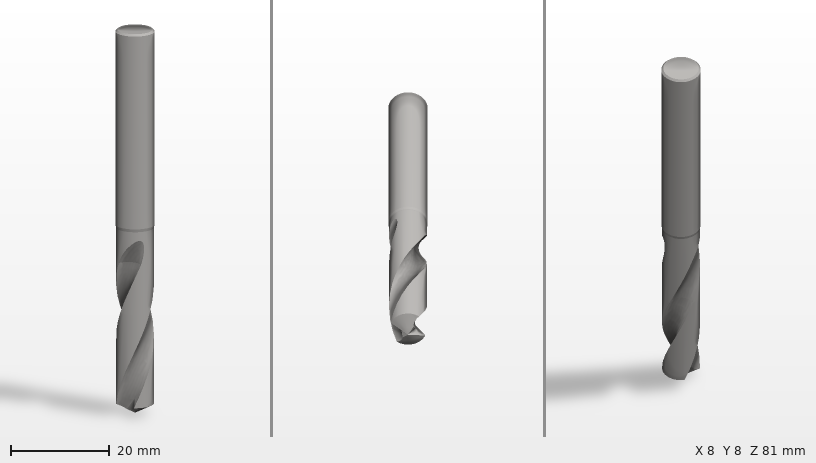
import cadquery as cq

total_length = 81.0
shank_diameter = 8.0
drill_diameter = 7.7
shank_chamfer = 0.4
point_height = 2.0

joint_level = 21.7
runout_start = 32.15
runout_end = 37.35
neck_level = 39.2
shank_level = 39.85

flute_count = 2
flute_radius = 2.6
flute_offset = 4.0
flute_twist = 6.667
flute_joint_angle = -122.0
runout_power = 1.4
runout_steps = 5
flute_overrun = 0.8

gash_face_angle = -34.0
gash_lean = 27.0
gash_length = 6.5

shank_radius = shank_diameter / 2
drill_radius = drill_diameter / 2
lift_total = drill_radius + flute_radius - flute_offset


def flute_angle(level):
    return flute_joint_angle + flute_twist * (level - joint_level)


def flute_section(level, offset):
    """Horizontal flute circle at a level, turned with the helix."""
    turned = cq.Plane((0, 0, level)).rotated((0, 0, flute_angle(level)))
    return cq.Workplane(turned).moveTo(offset, 0).circle(flute_radius)


def runout_lift(rise):
    """Outward shift of the flute, growing ever faster up to where it leaves the body."""
    return lift_total * (rise / (runout_end - runout_start)) ** runout_power


def make_helical_flute():
    height = runout_start + flute_overrun
    section = flute_section(-flute_overrun, flute_offset)
    return section.twistExtrude(height, flute_twist * height).val()


def make_runout():
    wires = []
    for step in range(runout_steps + 1):
        rise = (runout_end - runout_start) * step / runout_steps
        section = flute_section(runout_start + rise, flute_offset + runout_lift(rise))
        wires.append(section.wires().val())
    return cq.Solid.makeLoft(wires)


def make_gash():
    """Square-cornered notch cutter whose corner line starts at the point and leans outward."""
    block = cq.Workplane("XY").box(gash_length, gash_length, 2 * gash_length, centered=(False, False, True))
    return (
        block.translate((0, -gash_length, 0))
        .rotate((0, 0, 0), (0, 1, 0), gash_lean)
        .rotate((0, 0, 0), (0, 0, 1), gash_face_angle)
        .val()
    )


def around_axis(cutter, index):
    return cutter.rotate((0, 0, 0), (0, 0, 1), index * 360 / flute_count)


def cut_around_axis(body, cutter):
    for index in range(flute_count):
        body = body.cut(around_axis(cutter, index))
    return body


def make_shank(helical_flute, runout):
    blank = (
        cq.Workplane("XZ")
        .moveTo(0, joint_level)
        .lineTo(drill_radius, joint_level)
        .lineTo(drill_radius, neck_level)
        .lineTo(shank_radius, shank_level)
        .lineTo(shank_radius, total_length - shank_chamfer)
        .lineTo(shank_radius - shank_chamfer, total_length)
        .lineTo(0, total_length)
        .close()
        .revolve(360, (0, 0, 0), (0, 1, 0))
    )
    return cut_around_axis(cut_around_axis(blank, helical_flute), runout)


def make_cutting_head(helical_flute):
    blank = (
        cq.Workplane("XZ")
        .lineTo(drill_radius, point_height)
        .lineTo(drill_radius, joint_level)
        .lineTo(0, joint_level)
        .close()
        .revolve(360, (0, 0, 0), (0, 1, 0))
    )
    return cut_around_axis(cut_around_axis(blank, helical_flute), make_gash())


flute = make_helical_flute()
shank = make_shank(flute, make_runout())
cutting_head = make_cutting_head(flute)

result = cq.Compound.makeCompound([shank.val(), cutting_head.val()])